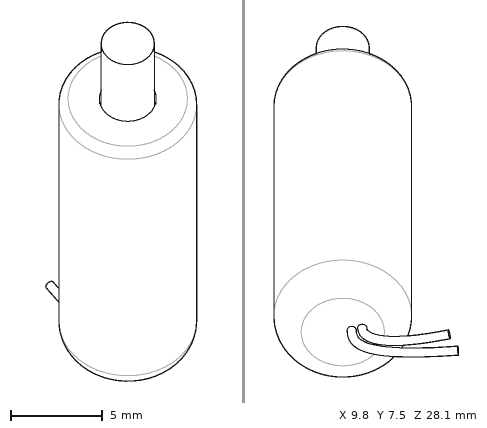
import cadquery as cq

housing_diameter = 7.5
housing_height = 21.53
top_fillet = 0.5
bottom_fillet = 1.5

shaft_diameter = 2.9
shaft_projection = 4.98
shaft_hole_diameter = 3.1
shaft_hole_depth = 5.0

wire_diameter = 0.5
wire_root = 0.28

upper_lead_points = [(-1.1, 0, 0), (-1.1, 0, -0.73), (-1.55, -1.07, -0.68), (-5.7, -1.07, -0.73)]
lower_lead_points = [(-0.5, 0, 0), (-0.5, 0, -1.25), (-0.68, -1.15, -1.07), (-6.02, -1.8, -1.38)]


def make_lead(points):
    """Round wire that leaves the floor vertically and sweeps out to its free end."""
    centreline = cq.Workplane("XY").bezier(points)
    bent_wire = (
        cq.Workplane("XY", origin=points[0])
        .circle(wire_diameter / 2)
        .sweep(centreline)
    )
    root = (
        cq.Workplane("XY", origin=points[0])
        .circle(wire_diameter / 2)
        .extrude(wire_root)
    )
    return bent_wire.union(root)


def make_housing():
    """Rounded cylinder with a blind shaft hole in its top and two leads on its floor."""
    body = cq.Workplane("XY").circle(housing_diameter / 2).extrude(housing_height)
    body = body.faces(">Z").edges().fillet(top_fillet)
    body = body.faces("<Z").edges().fillet(bottom_fillet)
    body = body.faces(">Z").workplane().hole(shaft_hole_diameter, shaft_hole_depth)
    for points in (upper_lead_points, lower_lead_points):
        body = body.union(make_lead(points))
    return body.solids()


def make_shaft():
    """Plain round shaft resting on the floor of its hole."""
    return (
        cq.Workplane("XY", origin=(0, 0, housing_height - shaft_hole_depth))
        .circle(shaft_diameter / 2)
        .extrude(shaft_hole_depth + shaft_projection)
    )


housing = make_housing()
shaft = make_shaft()

result = cq.Compound.makeCompound([housing.val(), shaft.val()])